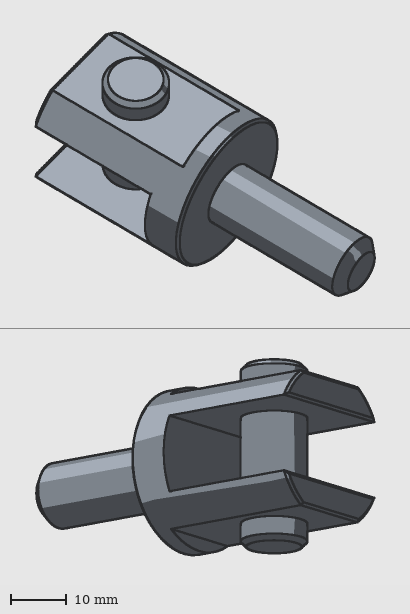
import cadquery as cq

head_diameter = 30.0
head_length = 34.0
head_edge_chamfer = 0.5

across_flats = 25.0
flat_length = 30.0

slot_width = 14.0
slot_depth = 26.5
arm_end_chamfer = 0.5

shank_diameter = 12.0
overall_length = 64.0
shank_end_chamfer = 2.0

pin_diameter = 12.0
pin_length = 33.5
pin_position = 13.0
pin_end_chamfer = 1.0


def make_head():
    """Round head with its edge on the shank side chamfered."""
    head = cq.Workplane("YZ").circle(head_diameter / 2).extrude(head_length)
    return head.faces(">X").edges().chamfer(head_edge_chamfer)


def cut_fork(head):
    """Cut the slot and the two outer flats, then chamfer the arm end faces."""
    slot = cq.Workplane("XY").box(2 * slot_depth, head_diameter, slot_width)
    fork = head.cut(slot)

    flat_cut_height = (head_diameter - across_flats) / 2
    flat_cut = cq.Workplane("XY").box(2 * flat_length, head_diameter, flat_cut_height)
    flat_cut_center = across_flats / 2 + flat_cut_height / 2
    for side in (1, -1):
        fork = fork.cut(flat_cut.translate((0, 0, side * flat_cut_center)))

    return fork.faces("<X").edges().chamfer(arm_end_chamfer)


def make_shank():
    """Plain cylinder from the head to the chamfered free end."""
    shank = (
        cq.Workplane("YZ", origin=(head_length, 0, 0))
        .circle(shank_diameter / 2)
        .extrude(overall_length - head_length)
    )
    return shank.faces(">X").edges().chamfer(shank_end_chamfer)


def make_pin():
    """Cross pin through both arms, chamfered at both ends."""
    pin = cq.Workplane("XY").circle(pin_diameter / 2).extrude(pin_length / 2, both=True)
    pin = pin.faces("<Z or >Z").edges().chamfer(pin_end_chamfer)
    return pin.translate((pin_position, 0, 0))


result = cut_fork(make_head()).union(make_shank()).union(make_pin())